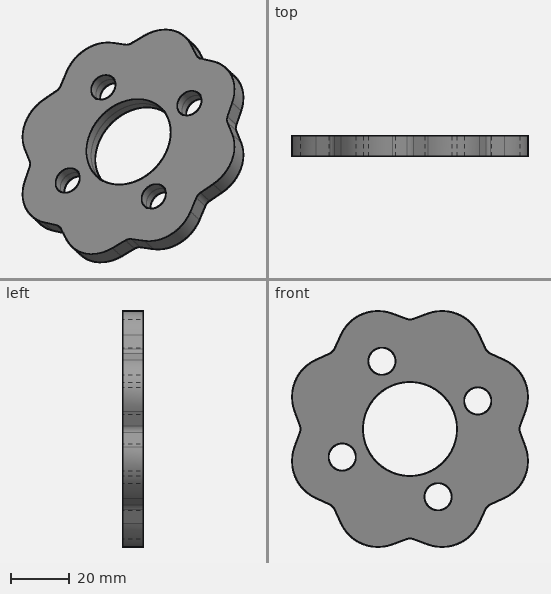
import math
import cadquery as cq

width = 80.5
thickness = 7.0
lobe_count = 8
lobe_radius = 13.9
valley_distance = 37.4
valley_radius = 3.2

bore_diameter = 32.0
bolt_hole_diameter = 9.2
bolt_circle_diameter = 50.0
bolt_count = 4

pitch = 360 / lobe_count
half_pitch = math.radians(pitch / 2)
lobe_distance = (width / 2 - lobe_radius) / math.cos(half_pitch)


def polar(distance, angle):
    """Point at a distance from the plate centre, with the angle in degrees."""
    return (
        distance * math.cos(math.radians(angle)),
        distance * math.sin(math.radians(angle)),
    )


def scalloped_outline():
    """Lobe and valley arcs joined by straight tangent flanks."""
    valley_centre = valley_distance + valley_radius
    along = valley_centre - lobe_distance * math.cos(half_pitch)
    across = lobe_distance * math.sin(half_pitch)
    spacing = math.hypot(along, across)
    normal = math.degrees(
        math.acos((lobe_radius + valley_radius) / spacing) - math.atan2(across, along)
    )
    lobe_x = lobe_distance * math.cos(half_pitch)
    normal_x, normal_y = polar(1, normal)
    lobe_end = (lobe_x + lobe_radius * normal_x, across + lobe_radius * normal_y)
    valley_start = (valley_centre - valley_radius * normal_x, -valley_radius * normal_y)

    def place(point, angle, side):
        distance = math.hypot(*point)
        offset = math.degrees(math.atan2(point[1], point[0]))
        return polar(distance, angle + side * offset)

    outline = cq.Workplane("XZ").moveTo(*place(valley_start, 0, 1))
    for index in range(lobe_count):
        valley_angle = index * pitch
        next_valley = valley_angle + pitch
        outline = (
            outline.lineTo(*place(lobe_end, valley_angle, 1))
            .threePointArc(
                polar(lobe_distance + lobe_radius, valley_angle + pitch / 2),
                place(lobe_end, next_valley, -1),
            )
            .lineTo(*place(valley_start, next_valley, -1))
            .threePointArc(
                polar(valley_distance, next_valley),
                place(valley_start, next_valley, 1),
            )
        )
    return outline.close()


plate = scalloped_outline().extrude(thickness / 2, both=True)

bore = cq.Workplane("XZ").circle(bore_diameter / 2).extrude(thickness, both=True)

bolt_holes = (
    cq.Workplane("XZ")
    .polarArray(bolt_circle_diameter / 2, pitch / 2, 360, bolt_count)
    .circle(bolt_hole_diameter / 2)
    .extrude(thickness, both=True)
)

result = plate.cut(bore).cut(bolt_holes)